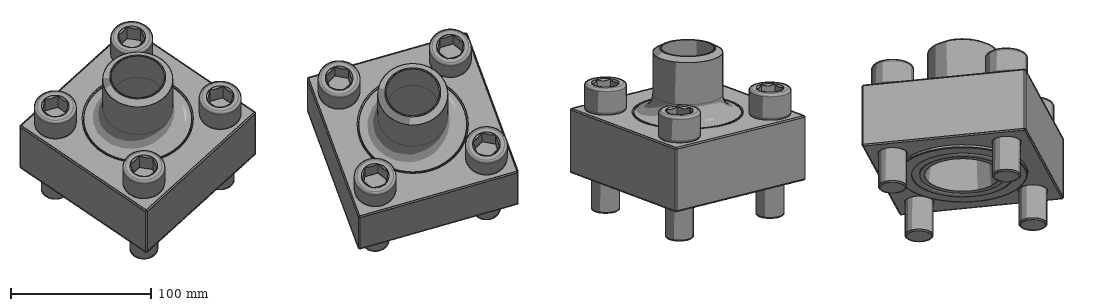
import cadquery as cq
import math

BLOCK_SIDE = 120.0
BLOCK_HEIGHT = 48.2
BLOCK_CHAMFER = 1.0

SCREW_COUNT = 4
SCREW_SPACING = 83.5
SHANK_DIAMETER = 20.0
SHANK_LENGTH = 75.0
SHANK_CHAMFER = 1.0
HEAD_DIAMETER = 30.0
HEAD_HEIGHT = SHANK_DIAMETER
HEAD_FILLET = 2.0
SOCKET_SIDES = 6
SOCKET_CORNER_DIAMETER = 19.7
SOCKET_DEPTH = 13.5
SOCKET_CHAMFER_ANGLE = 45.0
CLEARANCE_HOLE_DIAMETER = 21.0

TOTAL_HEIGHT = 123.0
PIPE_DIAMETER = 50.0
PIPE_RIM_DIAMETER = 40.0
PIPE_BEVEL_ANGLE = 30.0
BORE_DIAMETER = 38.0
BORE_MOUTH_DIAMETER = 54.5
BORE_TAPER_TOP = 98.6
COLLAR_DIAMETER = 77.0
FOOT_DIAMETER = 92.0
FOOT_HEIGHT = 15.0
FOOT_PROTRUSION = 2.0
FOOT_CHAMFER = 0.5

COLLAR_HOLE_DIAMETER = 77.5
FOOT_RECESS_DIAMETER = 93.0

GROOVE_INNER_DIAMETER = 61.5
GROOVE_OUTER_DIAMETER = 73.2
SEAL_PROTRUSION = 1.2

BLOCK_TOP = SHANK_LENGTH
BLOCK_BOTTOM = BLOCK_TOP - BLOCK_HEIGHT
FOOT_BOTTOM = BLOCK_BOTTOM - FOOT_PROTRUSION
FOOT_TOP = FOOT_BOTTOM + FOOT_HEIGHT
SEAL_SECTION = (GROOVE_OUTER_DIAMETER - GROOVE_INNER_DIAMETER) / 2
SEAL_MEAN_RADIUS = (GROOVE_OUTER_DIAMETER + GROOVE_INNER_DIAMETER) / 4
GROOVE_DEPTH = SEAL_SECTION - SEAL_PROTRUSION


def cylinder(diameter, bottom, top):
    """Upright cylinder on the main axis between two levels."""
    return cq.Workplane("XY").workplane(offset=bottom).circle(diameter / 2).extrude(top - bottom)


def cone(bottom_diameter, top_diameter, bottom, top):
    """Upright cone frustum on the main axis between two levels."""
    return cq.Workplane(
        cq.Solid.makeCone(bottom_diameter / 2, top_diameter / 2, top - bottom, cq.Vector(0, 0, bottom))
    )


def make_block():
    """Square block with a stepped centre hole and four screw holes."""
    block = (
        cq.Workplane("XY")
        .workplane(offset=BLOCK_BOTTOM)
        .rect(BLOCK_SIDE, BLOCK_SIDE)
        .extrude(BLOCK_HEIGHT)
        .edges()
        .chamfer(BLOCK_CHAMFER)
    )
    block = block.cut(cylinder(COLLAR_HOLE_DIAMETER, BLOCK_BOTTOM, BLOCK_TOP))
    mouth_diameter = COLLAR_HOLE_DIAMETER + 2 * BLOCK_CHAMFER
    block = block.cut(cone(COLLAR_HOLE_DIAMETER, mouth_diameter, BLOCK_TOP - BLOCK_CHAMFER, BLOCK_TOP))
    block = block.cut(cylinder(FOOT_RECESS_DIAMETER, BLOCK_BOTTOM, FOOT_TOP))
    screw_holes = (
        cq.Workplane("XY")
        .workplane(offset=BLOCK_BOTTOM)
        .rect(SCREW_SPACING, SCREW_SPACING, forConstruction=True)
        .vertices()
        .circle(CLEARANCE_HOLE_DIAMETER / 2)
        .extrude(BLOCK_HEIGHT)
    )
    return block.cut(screw_holes)


def make_adapter():
    """Turned pipe stub with a flared neck, a collar, a wider foot and a seal groove."""
    pipe_radius = PIPE_DIAMETER / 2
    rim_radius = PIPE_RIM_DIAMETER / 2
    bore_radius = BORE_DIAMETER / 2
    collar_radius = COLLAR_DIAMETER / 2
    bevel_height = (pipe_radius - rim_radius) * math.tan(math.radians(PIPE_BEVEL_ANGLE))
    neck_radius = collar_radius - pipe_radius
    arc_offset = neck_radius * (1 - math.sqrt(0.5))
    adapter = (
        cq.Workplane("XZ")
        .moveTo(BORE_MOUTH_DIAMETER / 2, FOOT_BOTTOM)
        .lineTo(FOOT_DIAMETER / 2 - FOOT_CHAMFER, FOOT_BOTTOM)
        .lineTo(FOOT_DIAMETER / 2, FOOT_BOTTOM + FOOT_CHAMFER)
        .lineTo(FOOT_DIAMETER / 2, FOOT_TOP)
        .lineTo(collar_radius, FOOT_TOP)
        .lineTo(collar_radius, BLOCK_TOP)
        .threePointArc(
            (pipe_radius + arc_offset, BLOCK_TOP + arc_offset),
            (pipe_radius, BLOCK_TOP + neck_radius),
        )
        .lineTo(pipe_radius, TOTAL_HEIGHT - bevel_height)
        .lineTo(rim_radius, TOTAL_HEIGHT)
        .lineTo(bore_radius, TOTAL_HEIGHT)
        .lineTo(bore_radius, BORE_TAPER_TOP)
        .close()
        .revolve(360, (0, 0, 0), (0, 1, 0))
    )
    groove_top = FOOT_BOTTOM + GROOVE_DEPTH
    groove = cylinder(GROOVE_OUTER_DIAMETER, FOOT_BOTTOM, groove_top).cut(
        cylinder(GROOVE_INNER_DIAMETER, FOOT_BOTTOM, groove_top)
    )
    return adapter.cut(groove)


def make_seal():
    """O-ring that fills the groove width and stands out below the foot."""
    centre_height = FOOT_BOTTOM - SEAL_PROTRUSION + SEAL_SECTION / 2
    return (
        cq.Workplane("XZ")
        .center(SEAL_MEAN_RADIUS, centre_height)
        .circle(SEAL_SECTION / 2)
        .revolve(360, (-SEAL_MEAN_RADIUS, 0, 0), (-SEAL_MEAN_RADIUS, 1, 0))
    )


def make_screw():
    """Hexagon socket screw on the main axis with its tip at z = 0."""
    head_top = SHANK_LENGTH + HEAD_HEIGHT
    shank = cylinder(SHANK_DIAMETER, 0, SHANK_LENGTH).faces("<Z").chamfer(SHANK_CHAMFER)
    head = (
        cylinder(HEAD_DIAMETER, SHANK_LENGTH, head_top)
        .edges("%CIRCLE")
        .fillet(HEAD_FILLET)
    )
    socket = (
        cq.Workplane("XY")
        .workplane(offset=head_top - SOCKET_DEPTH)
        .polygon(SOCKET_SIDES, SOCKET_CORNER_DIAMETER)
        .extrude(SOCKET_DEPTH)
    )
    socket_radius = SOCKET_CORNER_DIAMETER / 2
    cone_height = socket_radius * math.tan(math.radians(SOCKET_CHAMFER_ANGLE))
    lead_in = cone(0, SOCKET_CORNER_DIAMETER, head_top - cone_height, head_top)
    return shank.union(head).cut(socket).cut(lead_in)


def make_screws():
    """Four screws, each turned a quarter further around the main axis."""
    corner_screw = make_screw().translate((SCREW_SPACING / 2, SCREW_SPACING / 2, 0))
    quarter_turn = 360 / SCREW_COUNT
    return [corner_screw.rotate((0, 0, 0), (0, 0, 1), i * quarter_turn) for i in range(SCREW_COUNT)]


block = make_block()
adapter = make_adapter()
seal = make_seal()
screws = make_screws()

result = cq.Compound.makeCompound(
    [block.val(), adapter.val(), seal.val(), *[screw.val() for screw in screws]]
)